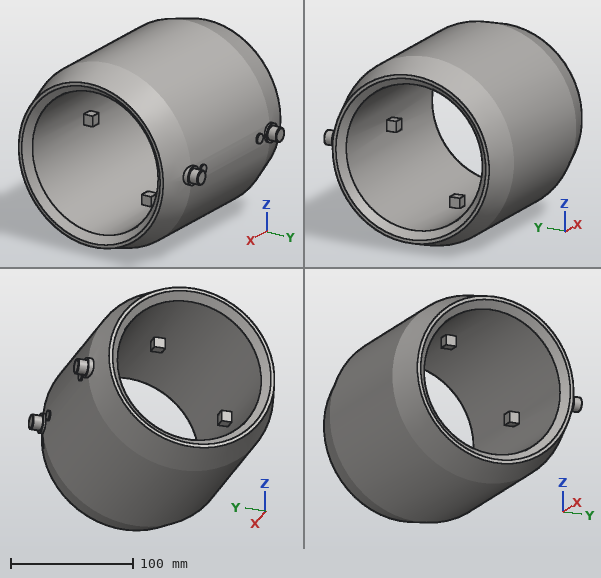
import cadquery as cq

length = 171.0
outer_radius = 80.4
end_radius = 71.6
taper_length = 28.2
bore_radius = 62.2
bore_mouth_radius = 68.5
bore_bevel_length = 6.3

terminal_tip = length - outer_radius
terminal_diameter = 12.5
terminal_chamfer = 0.7
collar_diameter = 16.5
collar_top = 82.3

indicator_diameter = 8.4
indicator_top = 81.5
indicator_x = 41.2

tab_width = 9.4
tab_height = 8.9
tab_count = 4

half_length = length / 2
taper_start = half_length - taper_length
bevel_start = half_length - bore_bevel_length
mid_wall = (outer_radius + bore_radius) / 2


def make_sleeve():
    """Revolve the wall section with tapered ends and bevelled bore mouths."""
    section = [
        (-half_length, end_radius),
        (-taper_start, outer_radius),
        (taper_start, outer_radius),
        (half_length, end_radius),
        (half_length, bore_mouth_radius),
        (bevel_start, bore_radius),
        (-bevel_start, bore_radius),
        (-half_length, bore_mouth_radius),
    ]
    return cq.Workplane("XY").polyline(section).close().revolve(360, (0, 0, 0), (1, 0, 0))


def make_post(x, diameter, top_y):
    """Round post along +Y from inside the wall up to top_y."""
    return (
        cq.Workplane("XZ", origin=(x, mid_wall, 0))
        .circle(diameter / 2)
        .extrude(mid_wall - top_y)
    )


def make_tab(angle):
    """Square stop tab reaching from the wall into the bore."""
    inner_end = bore_radius - tab_height
    tab = cq.Workplane("XY").box(
        tab_width, tab_width, mid_wall - inner_end, centered=(True, True, False)
    )
    return tab.translate((0, 0, inner_end)).rotate((0, 0, 0), (1, 0, 0), angle)


result = make_sleeve()

for side in (-1, 1):
    terminal_x = side * taper_start
    pin = make_post(terminal_x, terminal_diameter, terminal_tip)
    pin = pin.faces(">Y").chamfer(terminal_chamfer)
    result = result.union(make_post(terminal_x, collar_diameter, collar_top))
    result = result.union(pin)
    result = result.union(make_post(side * indicator_x, indicator_diameter, indicator_top))

for index in range(tab_count):
    result = result.union(make_tab(index * 360 / tab_count))